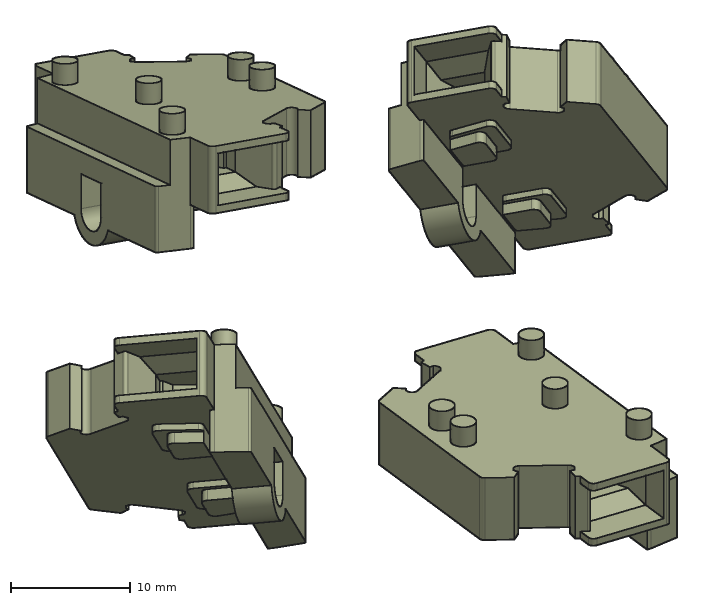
import cadquery as cq
import math


half_width = 14.1
depth = 18.2
height = 5.92
corner_radius = 0.5

wing_front_y = 3.05
wing_rear_y = 11.0

flank_angle = math.radians(60)
claw_tip = (9.53, 15.8)
claw_inner = (8.83, 14.95)
claw_arc_mid = (8.2, 15.05)
flank_start = (8.0, 14.35)
relief_start_y = 10.85
relief_bottom = (10.55, 10.52)
relief_end_x = 11.05
tab_inner_y = 11.22
tab_tip = (12.13, 11.36)

foot_root_half_width = 10.83
foot_front_half_width = 10.3
foot_depth = 3.4
foot_drop = 3.85
foot_corner_radius = 0.25
ledge_depth = 1.27
ledge_height = 1.95

lug_radius = 2.8
lug_drop = 5.8
slot_radius = 1.58

pin_diameter = 2.17
pin_height = 1.85
pin_points = [(-1.7, 15.9), (1.7, 15.9), (0, 5.72), (-8.5, 2.74), (8.5, 2.74)]

entry_wall = 0.68
entry_front_y = 3.8
lip_outer_y = 10.5
lip_arc_mid = (12.65, 10.26)
lip_inner = (12.46, 10.1)
funnel_angle = math.radians(30)
funnel_start_x = 11.22
throat_floor_z = 1.7
throat_front_y = 5.02
throat_front_x = 8.05
throat_rear_y = 8.38
throat_step_x = 8.05
throat_step_y = 8.12
end_wall_rear_y = 7.5

boss_inner_x = 4.23
boss_outer_x = 8.18
boss_front_y = 4.65
boss_rear_y = 8.97
boss_height = 0.6
boss_rear_radius = 0.6
boss_front_radius = 0.42
boss_tip_rear_y = 7.8
boss_tip_height = 1.02

foot_taper = (foot_root_half_width - foot_front_half_width) / wing_front_y


def mirrored_pair(solid):
    return solid.union(solid.mirror("YZ"))


def tab_flank_x(y):
    """X of the leaning outer flank of the tab at depth y."""
    return tab_tip[0] + (tab_tip[1] - y) / math.tan(flank_angle)


def make_housing():
    rear_corner_x = claw_tip[0] - (depth - claw_tip[1]) / math.tan(flank_angle)
    relief_start_x = flank_start[0] + (flank_start[1] - relief_start_y) / math.tan(flank_angle)
    half = (
        cq.Workplane("XY")
        .moveTo(0, ledge_depth)
        .lineTo(foot_front_half_width + foot_taper * ledge_depth, ledge_depth)
        .lineTo(foot_root_half_width, wing_front_y)
        .lineTo(half_width, wing_front_y)
        .lineTo(half_width, wing_rear_y)
        .lineTo(tab_flank_x(wing_rear_y), wing_rear_y)
        .lineTo(*tab_tip)
        .lineTo(relief_end_x, tab_inner_y)
        .lineTo(relief_end_x, relief_start_y)
        .threePointArc(relief_bottom, (relief_start_x, relief_start_y))
        .lineTo(*flank_start)
        .threePointArc(claw_arc_mid, claw_inner)
        .lineTo(*claw_tip)
        .lineTo(rear_corner_x, depth)
        .lineTo(0, depth)
        .close()
        .extrude(height)
    )
    half = half.edges("|Z and >X").fillet(corner_radius)
    rear_corner = cq.selectors.NearestToPointSelector((rear_corner_x, depth, height / 2))
    half = half.edges("|Z").edges(rear_corner).fillet(corner_radius)
    return mirrored_pair(half)


def make_foot():
    bar = (
        cq.Workplane("XY")
        .workplane(offset=-foot_drop)
        .moveTo(-foot_front_half_width, 0)
        .lineTo(foot_front_half_width, 0)
        .lineTo(foot_root_half_width, wing_front_y)
        .lineTo(foot_root_half_width, foot_depth)
        .lineTo(-foot_root_half_width, foot_depth)
        .lineTo(-foot_root_half_width, wing_front_y)
        .close()
        .extrude(foot_drop + ledge_height)
        .edges("|Z and <Y")
        .fillet(foot_corner_radius)
    )
    lug_center_z = lug_radius - lug_drop
    lug = (
        cq.Workplane("XZ")
        .center(0, lug_center_z)
        .circle(lug_radius)
        .extrude(-foot_depth)
    )
    slot = (
        cq.Workplane("XZ")
        .moveTo(-slot_radius, 0)
        .lineTo(-slot_radius, lug_center_z)
        .threePointArc((0, lug_center_z - slot_radius), (slot_radius, lug_center_z))
        .lineTo(slot_radius, 0)
        .close()
        .extrude(-foot_depth)
    )
    return bar.union(lug).cut(slot)


def make_wire_entry():
    """Plan outline of the entry, limited in height by its funnel-shaped side profile."""
    end_wall_x = throat_step_x - (throat_step_y - end_wall_rear_y) / math.tan(funnel_angle)
    end_wall_front_x = end_wall_x - foot_taper * (end_wall_rear_y - throat_front_y)
    throat_rear_x = lip_inner[0] - (lip_inner[1] - throat_rear_y) / math.tan(funnel_angle)
    plan = (
        cq.Workplane("XY")
        .moveTo(half_width, entry_front_y)
        .lineTo(half_width, tab_tip[1])
        .lineTo(*tab_tip)
        .lineTo(tab_flank_x(lip_outer_y), lip_outer_y)
        .threePointArc(lip_arc_mid, lip_inner)
        .lineTo(throat_rear_x, throat_rear_y)
        .lineTo(throat_step_x, throat_rear_y)
        .lineTo(throat_step_x, throat_step_y)
        .lineTo(end_wall_x, end_wall_rear_y)
        .lineTo(end_wall_front_x, throat_front_y)
        .lineTo(throat_front_x, throat_front_y)
        .lineTo(funnel_start_x, entry_front_y)
        .close()
        .extrude(height)
    )
    side_profile = (
        cq.Workplane("XZ")
        .moveTo(half_width, entry_wall)
        .lineTo(funnel_start_x, entry_wall)
        .lineTo(throat_rear_x, throat_floor_z)
        .lineTo(end_wall_front_x, throat_floor_z)
        .lineTo(end_wall_front_x, height - throat_floor_z)
        .lineTo(throat_rear_x, height - throat_floor_z)
        .lineTo(funnel_start_x, height - entry_wall)
        .lineTo(half_width, height - entry_wall)
        .close()
        .extrude(-depth)
    )
    return plan.intersect(side_profile)


def hanging_block(inset, rear_y, top_z, block_height):
    """Block below top_z with rounded rear corners and an outer side parallel to the foot's flank."""
    inner_x = boss_inner_x + inset
    outer_x = boss_outer_x - inset
    return (
        cq.Workplane("XY")
        .workplane(offset=top_z)
        .moveTo(inner_x, boss_front_y)
        .lineTo(outer_x, boss_front_y)
        .lineTo(outer_x + foot_taper * (rear_y - boss_front_y), rear_y)
        .lineTo(inner_x, rear_y)
        .close()
        .extrude(-block_height)
        .edges("|Z and >Y")
        .fillet(boss_rear_radius)
    )


def make_boss():
    base = hanging_block(0, boss_rear_y, 0, boss_height)
    base = base.edges("|Z and <Y").fillet(boss_front_radius)
    tip = hanging_block(boss_front_radius, boss_tip_rear_y, -boss_height, boss_tip_height)
    return base.union(tip)


def make_pins():
    return (
        cq.Workplane("XY")
        .workplane(offset=height)
        .pushPoints(pin_points)
        .circle(pin_diameter / 2)
        .extrude(pin_height)
    )


result = (
    make_housing()
    .union(make_foot())
    .cut(mirrored_pair(make_wire_entry()))
    .union(mirrored_pair(make_boss()))
    .union(make_pins())
)